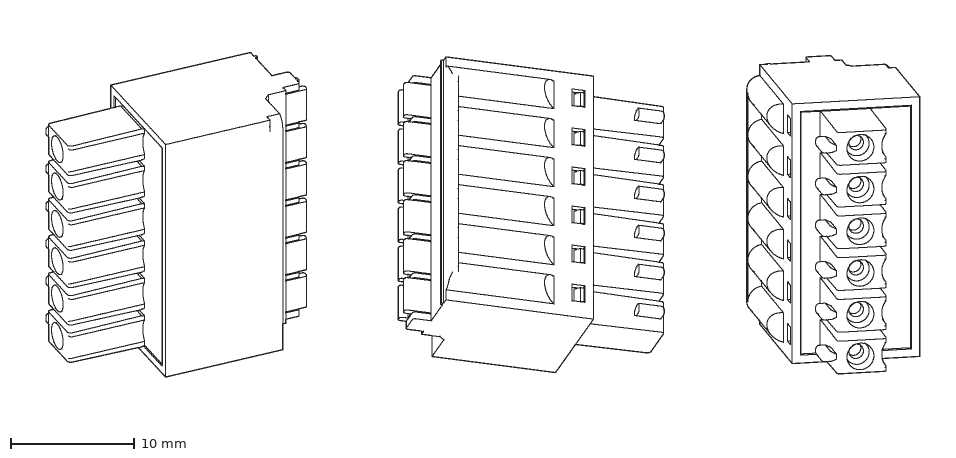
import cadquery as cq

HEIGHT = 21.8
WIDTH = 10.57
DEPTH = 12.5
BACK_WIDTH = 6.8
SHOULDER_Y = 10.46
SHOULDER_CHAMFER = 0.45
CORNER_WIDTH = 0.6
CORNER_DROP = 1.05
CORNER_RADIUS = 1.22
CORNER_LENGTH = 1.13
RECESS_RIM = 0.68
RECESS_DRAFT = 0.09
RECESS_DEPTH = 0.07

POLES = 6
POLE_SPAN = 17.5
PITCH = POLE_SPAN / (POLES - 1)

PLUG_LEFT = 2.3
PLUG_WIDTH = 4.1
PLUG_LENGTH = 6.71
PLUG_NECK_HEIGHT = 2.75
PLUG_NECK_LENGTH = 0.2
PLUG_ROOT_HEIGHT = 2.92
PLUG_TIP_HEIGHT = 2.75
PLUG_LEFT_ROUNDING = 0.28
PLUG_RIGHT_ROUNDING = 0.33
SCALLOP_DIAMETER = 3.07
SCALLOP_DEPTH = 0.37
SOCKET_X = 4.2
SOCKET_MOUTH_DIAMETER = 2.22
SOCKET_SEAT_DIAMETER = 1.98
SOCKET_BORE_DIAMETER = 1.2
SOCKET_SEAT_DEPTH = 1.25
SOCKET_BORE_START = 1.64
SOCKET_DEPTH = 2.62

KEY_LEFT = 1.05
KEY_HEIGHT = 0.87
KEY_TAPER_START = 1.83
KEY_ROOT_HEIGHT = 0.4
KEY_BACK = -4.19
KEY_FRONT = -6.39
KEY_ROUNDING = 0.3

BAR_RADIUS = 1.25
BAR_RISE = 1.13
BAR_FRONT = 3.35
BAR_BACK_ROUNDING = 0.28
STRIP_WIDTH = 0.72

WINDOW_FRONT = 0.75
WINDOW_BACK = 1.8
WINDOW_HEIGHT = 1.48
WINDOW_DEPTH = 0.57
BARB_RAMP_FRONT = 1.07
BARB_RAMP_BACK = 1.48
BARB_DEPTH = 0.17
BARB_HEIGHT = 1.22

PLATE_LEFT = 4.12
PLATE_WIDTH = 2.11
PLATE_BACK = 14.02
PLATE_ROUNDING = 0.22
BLOCK_BACK = 14.7
BLOCK_HEIGHT = 2.9
BLOCK_GAP = 0.8
BLOCK_CLEARANCE = 0.09
PRONG_ROUNDING = 0.22
RIDGE_LEFT = 0.65
RIDGE_WIDTH = 0.26
RIDGE_HEIGHT = 0.2

pole_levels = [pole * PITCH - POLE_SPAN / 2 for pole in range(POLES)]


def extruded_outline(outline, height):
    """Extrude an XY outline along Z, centred on Z = 0."""
    return outline.close().extrude(height / 2, both=True)


def block(left, front, width, depth, height):
    """Box placed by its left front edge and centred on Z = 0."""
    return cq.Workplane("XY").box(width, depth, height, centered=(False, False, True)).translate(
        (left, front, 0)
    )


def at_each_pole(body):
    """Copies of a body, one at the level of each pole."""
    copies = cq.Workplane("XY")
    for level in pole_levels:
        copies = copies.add(body.translate((0, 0, level)))
    return copies.combine()


def make_housing():
    outline = cq.Workplane("XY").polyline(
        [
            (0, 0),
            (WIDTH, 0),
            (WIDTH, SHOULDER_Y),
            (BACK_WIDTH + SHOULDER_CHAMFER, SHOULDER_Y),
            (BACK_WIDTH, SHOULDER_Y + SHOULDER_CHAMFER),
            (BACK_WIDTH, DEPTH),
            (0, DEPTH),
        ]
    )
    housing = extruded_outline(outline, HEIGHT)

    recess = (
        cq.Workplane("XZ")
        .center(WIDTH / 2, 0)
        .rect(WIDTH - 2 * RECESS_RIM, HEIGHT - 2 * RECESS_RIM)
        .workplane(offset=-RECESS_DEPTH)
        .rect(
            WIDTH - 2 * (RECESS_RIM + RECESS_DRAFT),
            HEIGHT - 2 * (RECESS_RIM + RECESS_DRAFT),
        )
        .loft(ruled=True)
    )

    corner = (
        cq.Workplane("XZ", origin=(WIDTH, SHOULDER_Y, HEIGHT / 2))
        .moveTo(-CORNER_WIDTH, 0)
        .radiusArc((0, -CORNER_DROP), CORNER_RADIUS)
        .lineTo(0, 0)
        .close()
        .extrude(CORNER_LENGTH)
    )
    return housing.cut(recess).cut(corner)


def make_plug():
    half_outline = [
        (RECESS_DEPTH, PLUG_NECK_HEIGHT / 2),
        (-PLUG_NECK_LENGTH, PLUG_ROOT_HEIGHT / 2),
        (-PLUG_LENGTH, PLUG_TIP_HEIGHT / 2),
    ]
    mirrored = [(y, -z) for y, z in reversed(half_outline)]
    plug = (
        cq.Workplane("YZ", origin=(PLUG_LEFT, 0, 0))
        .polyline(half_outline + mirrored)
        .close()
        .extrude(PLUG_WIDTH)
    )

    plug = plug.faces("<Y").edges("<X").fillet(PLUG_LEFT_ROUNDING)
    scallop_x = PLUG_LEFT + PLUG_WIDTH - SCALLOP_DEPTH + SCALLOP_DIAMETER / 2
    scallop = (
        cq.Workplane("XZ", origin=(scallop_x, RECESS_DEPTH, 0))
        .circle(SCALLOP_DIAMETER / 2)
        .extrude(RECESS_DEPTH + PLUG_LENGTH)
    )
    return plug.cut(scallop).faces("<Y").edges("(not |X) and (not <X)").fillet(PLUG_RIGHT_ROUNDING)


def make_socket():
    """Contact hole: a slightly tapered mouth, a conical seat and a plain bore."""
    half_section = (
        cq.Workplane("XY", origin=(SOCKET_X, -PLUG_LENGTH, 0))
        .polyline(
            [
                (0, 0),
                (SOCKET_MOUTH_DIAMETER / 2, 0),
                (SOCKET_SEAT_DIAMETER / 2, SOCKET_SEAT_DEPTH),
                (SOCKET_BORE_DIAMETER / 2, SOCKET_BORE_START),
                (SOCKET_BORE_DIAMETER / 2, SOCKET_DEPTH),
                (0, SOCKET_DEPTH),
            ]
        )
        .close()
    )
    return half_section.revolve(360, (0, 0, 0), (0, 1, 0))


def make_key():
    key_length = KEY_BACK - KEY_FRONT
    rounded_bar = block(KEY_LEFT, KEY_FRONT, PLUG_LEFT - KEY_LEFT, key_length, KEY_HEIGHT)
    rounded_bar = (
        rounded_bar.edges("(|X and <Y) or (|Y and <X) or (|Z and <X and <Y)").fillet(KEY_ROUNDING)
    )

    half_height = KEY_HEIGHT / 2
    half_root = KEY_ROOT_HEIGHT / 2
    tapered_profile = (
        cq.Workplane("XZ", origin=(0, KEY_BACK, 0))
        .polyline(
            [
                (KEY_LEFT, half_height),
                (KEY_TAPER_START, half_height),
                (PLUG_LEFT, half_root),
                (PLUG_LEFT, -half_root),
                (KEY_TAPER_START, -half_height),
                (KEY_LEFT, -half_height),
            ]
        )
        .close()
        .extrude(key_length)
    )
    return rounded_bar.intersect(tapered_profile)


def make_bars():
    outline = cq.Workplane("XY").polyline(
        [
            (0, BAR_FRONT),
            (-BAR_RISE, BAR_FRONT + BAR_RISE),
            (-BAR_RISE, DEPTH),
            (0, DEPTH),
        ]
    )
    envelope = extruded_outline(outline, HEIGHT).edges("|Z and <X and >Y").fillet(BAR_BACK_ROUNDING)
    bar = (
        cq.Workplane("XZ", origin=(BAR_RADIUS - BAR_RISE, DEPTH, 0))
        .circle(BAR_RADIUS)
        .extrude(DEPTH - BAR_FRONT)
    )
    strip = block(-BAR_RISE, DEPTH - STRIP_WIDTH, BAR_RISE, STRIP_WIDTH, POLE_SPAN)
    return at_each_pole(bar).union(strip).intersect(envelope)


def make_window():
    window_length = WINDOW_BACK - WINDOW_FRONT
    window = block(0, WINDOW_FRONT, WINDOW_DEPTH, window_length, WINDOW_HEIGHT)

    outline = cq.Workplane("XY").polyline(
        [
            (BARB_DEPTH, WINDOW_FRONT),
            (BARB_DEPTH, BARB_RAMP_FRONT),
            (WINDOW_DEPTH, BARB_RAMP_BACK),
            (WINDOW_DEPTH, WINDOW_FRONT),
        ]
    )
    return window.cut(extruded_outline(outline, BARB_HEIGHT))


def make_release_plate():
    plate = block(PLATE_LEFT, DEPTH, PLATE_WIDTH, PLATE_BACK - DEPTH, HEIGHT)
    opening_height = BLOCK_HEIGHT + 2 * BLOCK_CLEARANCE
    opening = block(PLATE_LEFT, DEPTH, PLATE_WIDTH, PLATE_BACK - DEPTH, opening_height)
    return plate.faces(">Y").edges("|Z").fillet(PLATE_ROUNDING).cut(at_each_pole(opening))


def make_release_block():
    body = block(PLATE_LEFT, DEPTH, PLATE_WIDTH, BLOCK_BACK - DEPTH, BLOCK_HEIGHT)
    gap_left = PLATE_LEFT + (PLATE_WIDTH - BLOCK_GAP) / 2
    gap = block(gap_left, PLATE_BACK, BLOCK_GAP, BLOCK_BACK - PLATE_BACK, BLOCK_HEIGHT)
    return body.cut(gap).faces(">Y").edges("|Z").fillet(PRONG_ROUNDING)


ridge = block(RIDGE_LEFT, DEPTH, RIDGE_WIDTH, RIDGE_HEIGHT, HEIGHT)

result = (
    make_housing()
    .union(make_bars())
    .cut(at_each_pole(make_window()))
    .union(make_release_plate())
    .union(at_each_pole(make_release_block()))
    .union(ridge)
    .union(at_each_pole(make_plug().union(make_key()).cut(make_socket())))
)